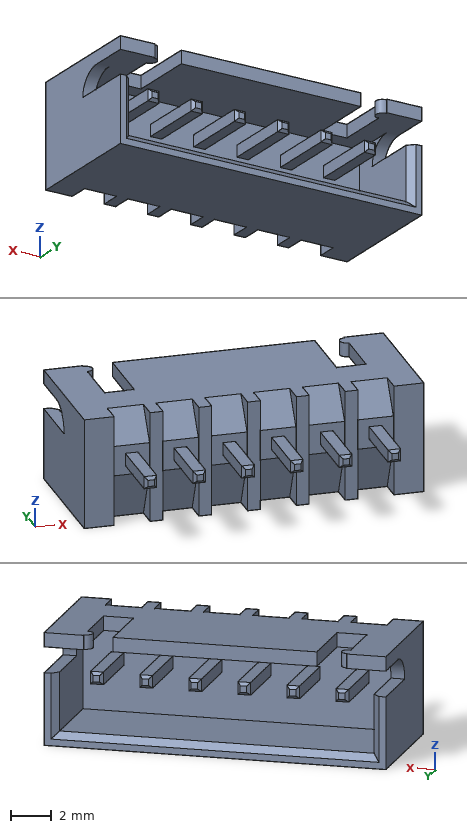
import cadquery as cq


length = 17.4
depth = 7.0
height = 5.75
top_wall = 0.73
side_wall = 0.7
bottom_wall = side_wall
cavity_depth = 4.7
mouth_chamfer = 0.35

pin_count = 6
pin_row = 12.5
pitch = pin_row / (pin_count - 1)
pin_width = 0.65
pin_z = height - 2.37
pin_tip_chamfer = 0.15
pin_tail = 3.3
pin_recess = 0.73

notch_width = 1.85
notch_depth = 1.17
notch_land_depth = 0.1
land_top = height - 1.62
land_bottom = height - 3.17

slot_depth = 3.78
slot_outer_x = length / 2 - 2.0
slot_width = 1.51
hook_radius = 0.37
hook_inset = 0.45
window_depth = 3.51
window_top = height - top_wall
window_bottom = pin_z + pin_width / 2
window_radius = window_top - window_bottom


def box(x_range, y_range, z_range):
    """Axis-aligned box between pairs of coordinates."""
    (x0, x1), (y0, y1), (z0, z1) = x_range, y_range, z_range
    return cq.Workplane("XY").box(x1 - x0, y1 - y0, z1 - z0, centered=False).translate((x0, y0, z0))


def make_cavity():
    """Mating cavity, flared at the mouth along the bottom and both side walls."""
    half_width = length / 2 - side_wall
    cavity = box((-half_width, half_width), (depth - cavity_depth, depth), (bottom_wall, window_top))
    flare_half = half_width + mouth_chamfer
    flare_start = depth - mouth_chamfer
    side_flare = (
        cq.Workplane("XY", origin=(0, 0, bottom_wall - mouth_chamfer))
        .polyline([
            (-half_width, flare_start),
            (half_width, flare_start),
            (flare_half, depth),
            (-flare_half, depth),
        ])
        .close()
        .extrude(window_top - bottom_wall + mouth_chamfer)
    )
    bottom_flare = (
        cq.Workplane("YZ", origin=(-flare_half, 0, 0))
        .moveTo(flare_start, bottom_wall)
        .lineTo(depth, bottom_wall - mouth_chamfer)
        .lineTo(depth, window_top)
        .lineTo(flare_start, window_top)
        .close()
        .extrude(2 * flare_half)
    )
    return cavity.union(side_flare.intersect(bottom_flare))


def make_side_windows():
    """Window through both end walls, with a rounded upper inner corner."""
    window_end = depth - window_depth
    return (
        cq.Workplane("YZ", origin=(-length / 2, 0, 0))
        .moveTo(depth, window_bottom)
        .lineTo(window_end, window_bottom)
        .radiusArc((window_end + window_radius, window_top), window_radius)
        .lineTo(depth, window_top)
        .close()
        .extrude(length)
    )


def make_slot(side):
    """Slot in the top wall beside the arm on the given side (-1 or +1)."""
    x_range = sorted((side * slot_outer_x, side * (slot_outer_x - slot_width)))
    return box(x_range, (depth - slot_depth, depth), (window_top, height))


def make_hook(side):
    """Round bump on the inner edge of an arm, near its tip."""
    return (
        cq.Workplane("XY", origin=(side * slot_outer_x, depth - hook_inset, window_top))
        .circle(hook_radius)
        .extrude(top_wall)
    )


def make_notch(x):
    """Notch around a pin: a shallow flat land with slopes running in to the top and underside."""
    return (
        cq.Workplane("YZ", origin=(x - notch_width / 2, 0, 0))
        .polyline([
            (0, 0),
            (notch_depth, 0),
            (notch_land_depth, land_bottom),
            (notch_land_depth, land_top),
            (notch_depth, height),
            (0, height),
        ])
        .close()
        .extrude(notch_width)
    )


def make_pin(x):
    """Square pin with chamfered ends."""
    half = pin_width / 2
    pin = box((x - half, x + half), (-pin_tail, depth - pin_recess), (pin_z - half, pin_z + half))
    return pin.faces("<Y or >Y").chamfer(pin_tip_chamfer)


housing = box((-length / 2, length / 2), (0, depth), (0, height))
housing = housing.cut(make_cavity()).cut(make_side_windows())
for side in (-1, 1):
    housing = housing.cut(make_slot(side)).union(make_hook(side))

pin_positions = [i * pitch - pin_row / 2 for i in range(pin_count)]
for x in pin_positions:
    housing = housing.cut(make_notch(x))

result = housing
for x in pin_positions:
    result = result.union(make_pin(x))